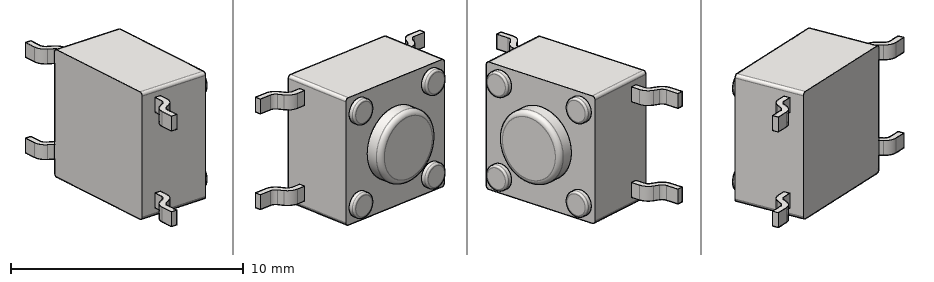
import cadquery as cq
import math

overall_span = 10.0
body_side = 6.0
body_depth = 3.5
body_corner_radius = 0.15

button_diameter = 3.4
button_height = 0.8
button_edge_radius = 0.24

peg_diameter = 1.2
peg_height = 0.3
peg_offset = 2.2
peg_edge_radius = 0.1

lead_thickness = 0.3
lead_width = 0.7
lead_height = 1.0
lead_offset = 2.25
foot_length = 0.63
inner_bend_radius = 0.3
bend_angle = math.radians(60.0)
lead_embed = 0.1


def make_body():
    """Housing with its four long edges rounded."""
    body = cq.Workplane("XY").box(body_side, body_depth, body_side, centered=(True, False, True))
    return body.edges("|Y").fillet(body_corner_radius)


def make_round_boss(x, z, diameter, height, edge_radius):
    """Disc standing on the +Y face of the housing, with a rounded outer rim."""
    boss = cq.Workplane("XZ", origin=(x, body_depth, z)).circle(diameter / 2).extrude(-height)
    return boss.faces(">Y").edges().fillet(edge_radius)


def make_lead(side, z):
    """Constant-thickness strip with two opposite bends; side is -1 for -X and 1 for +X."""
    outer_bend_radius = inner_bend_radius + lead_thickness
    mean_radius = inner_bend_radius + lead_thickness / 2
    bend_rise = mean_radius * (1 - math.cos(bend_angle))
    slope_rise = lead_height - lead_thickness - 2 * bend_rise
    slope_run = slope_rise / math.tan(bend_angle)
    bends_run = 2 * mean_radius * math.sin(bend_angle) + slope_run

    tip = overall_span / 2
    foot_end = tip - foot_length
    shoulder = foot_end - bends_run
    root = body_side / 2 - lead_embed
    lower_center_y = outer_bend_radius
    upper_center_y = lead_height - outer_bend_radius

    def lower_bend(radius, angle):
        x = foot_end - radius * math.sin(angle)
        return side * x, lower_center_y - radius * math.cos(angle)

    def upper_bend(radius, angle):
        x = shoulder + radius * math.sin(angle)
        return side * x, upper_center_y + radius * math.cos(angle)

    half_angle = bend_angle / 2
    profile = (
        cq.Workplane("XY", origin=(0, 0, z - lead_width / 2))
        .moveTo(side * tip, 0)
        .lineTo(*lower_bend(outer_bend_radius, 0))
        .threePointArc(lower_bend(outer_bend_radius, half_angle), lower_bend(outer_bend_radius, bend_angle))
        .lineTo(*upper_bend(inner_bend_radius, bend_angle))
        .threePointArc(upper_bend(inner_bend_radius, half_angle), upper_bend(inner_bend_radius, 0))
        .lineTo(side * root, lead_height - lead_thickness)
        .lineTo(side * root, lead_height)
        .lineTo(*upper_bend(outer_bend_radius, 0))
        .threePointArc(upper_bend(outer_bend_radius, half_angle), upper_bend(outer_bend_radius, bend_angle))
        .lineTo(*lower_bend(inner_bend_radius, bend_angle))
        .threePointArc(lower_bend(inner_bend_radius, half_angle), lower_bend(inner_bend_radius, 0))
        .lineTo(side * tip, lead_thickness)
        .close()
    )
    return profile.extrude(lead_width)


result = make_body()
result = result.union(make_round_boss(0, 0, button_diameter, button_height, button_edge_radius))

for x_side in (-1, 1):
    for z_side in (-1, 1):
        peg = make_round_boss(
            x_side * peg_offset, z_side * peg_offset, peg_diameter, peg_height, peg_edge_radius
        )
        lead = make_lead(x_side, z_side * lead_offset)
        result = result.union(peg).union(lead)